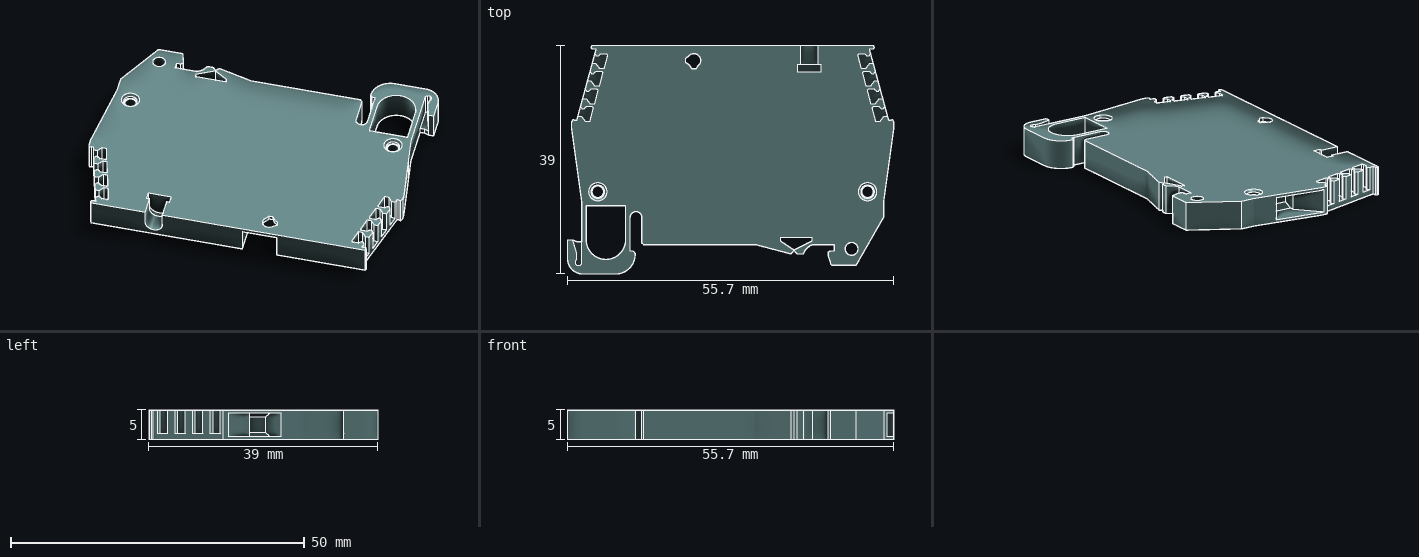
import cadquery as cq
import math


THICKNESS = 5.0
WALL = 0.5
FLOOR_Z = 1.0
CUT = 1.0

TOP_Y = 34.0
SHOULDER_X = 27.475
SHOULDER_Y = 19.84
LIP_START_Y = 20.86
LIP_MIDDLE = (-27.37, 21.15)
LIP_TOP = (-27.2, 21.4)
LIP_INNER_X = -26.95
BROW_INNER_X = -24.0
BROW_OUTER = (-24.15, 33.65)
WAIST_X = 25.75
WAIST_Y = 7.35

HOOK_X = -28.175
HOOK_BOTTOM_Y = -5.0
HOOK_TIP_Y = 0.85
HOOK_RADIUS = 2.7
HOOK_FLAT_END_X = -19.9
HOOK_JAW_X = -16.95
HOOK_LIP = (-16.6, -1.45)
HOOK_BELLY_MIDDLE = (-17.75, -4.15)
HOOK_POCKET_X = -27.3
HOOK_NECK_X = -26.6
HOOK_NECK_TOP_Y = -1.4
HOOK_NECK_BOTTOM_Y = -2.4
HOOK_BULB_WIDENING = 0.2
HOOK_BULB_CORNER = 0.27
HOOK_POCKET_BOTTOM_Y = -3.5
HOOK_FLOOR_STEP_X = -26.5
HOOK_FLOOR_Y = 0.55
HOOK_FLOOR_OVERLAP = 0.25
JAW_Y = -1.03

SLOT_LEFT_X = -17.46
SLOT_WIDTH = 1.95
SLOT_TOP_Y = 5.66
SLOT_CORNER = 0.35

WINDOW_LEFT_X = -24.95
WINDOW_WIDTH = 6.68
WINDOW_TOP_Y = 6.67
WINDOW_BOTTOM_Y = -2.46

FOOT_Y = -3.49
FOOT_LEFT_X = 17.15
FOOT_RIGHT_X = 21.04
FOOT_FLANK_Y = 4.74
FOOT_HEEL = (16.65, -3.0)
FOOT_HEEL_MIDDLE = (16.75, -3.35)
FOOT_JAW_X = 16.27
FOOT_JAW_LOWER_Y = -1.9
FOOT_JAW_CHAMFER = (0.33, 0.22)
FOOT_RECESS_X = 17.3
FOOT_HOLE = (20.27, -0.68)
FOOT_HOLE_DIAMETER = 2.15

NOSE_START_X = 4.0
NOSE_TIP_Y = -1.56
NOTCH_X = 10.45
NOTCH_Y = -1.0
NOTCH_HALF_WIDTH = 0.52
NOSE_FLAT_END_X = 12.06
NOSE_END_X = 13.6
NOSE_HOLLOW_MIDDLE = (12.58, -0.65)
NOSE_WINDOW_LEFT_X = 8.15
NOSE_WINDOW_RIGHT_X = 13.48
NOSE_WINDOW_TOP_Y = 1.23
NOSE_WINDOW_SIDE_Y = 0.68
NOSE_WINDOW_TIP_Y = -0.85

GROOVE_COUNT = 4
GROOVE_START_DROP = 0.78
GROOVE_STEP_Y = -3.0
FLANK_TOP = (-23.3, 33.38)
FLANK_BOTTOM = (-26.6, 21.25)
GROOVE_PROFILE = [
    (-1.2, 0.4),
    (-0.25, 0.4),
    (0.3, -0.43),
    (0.6, -0.43),
    (1.0, -0.02),
    (2.0, -0.02),
    (2.2, -0.25),
    (1.6, -2.55),
    (0.85, -2.55),
    (0.2, -1.7),
    (-1.2, -1.7),
]

ENTRY_TOP_Y = 20.5
ENTRY_BOTTOM_Y = 11.5
ENTRY_BACK_X = -23.4
ENTRY_THROAT_X = -22.6
ENTRY_STEP_Y = 16.87
ENTRY_END_X = -21.1
ENTRY_END_Y = 14.2
ENTRY_END_WALL = 1.2

SCREW_X = 22.99
SCREW_Y = 9.06
SCREW_HOLE_RADIUS = 0.97
SCREW_STEP_RADIUS = 1.15
SCREW_STEP_DEPTH = 0.85
SCREW_SINK_RADIUS = 1.55
SCREW_SINK_DEPTH = 0.4

BORE_X = 13.02
BORE_DIAMETER = 3.0
BORE_END_Y = 30.75
HEAD_DIAMETER = 4.0
HEAD_END_Y = 29.5
HEAD_FLOOR_Z = 0.52

TEST_X = -6.6
TEST_Y = 31.45
TEST_RADIUS = 1.13
TEST_TIP = 1.42
TEST_LOBE = 0.35
TEST_NECK = 0.9
TEST_SKIN = 0.7
RECESS_LEFT_X = -8.5
RECESS_RIGHT_X = -2.5
RECESS_BOTTOM_Y = 29.5


def prism(points, bottom=-CUT, top=THICKNESS + CUT):
    """Closed polygon in XY extruded from one Z level to another."""
    return cq.Workplane("XY").workplane(offset=bottom).polyline(points).close().extrude(top - bottom)


def box(x_min, x_max, y_min, y_max, z_min, z_max):
    size = (x_max - x_min, y_max - y_min, z_max - z_min)
    return cq.Workplane("XY").box(*size, centered=False).translate((x_min, y_min, z_min))


def mirrored(shape):
    """The shape together with its mirror image across X = 0."""
    return shape.union(shape.mirror("YZ"))


def shoulder_points():
    """Left edge of the body from the rounded shoulder lip up to the top edge."""
    return [
        LIP_TOP,
        (LIP_INNER_X, FLANK_BOTTOM[1]),
        FLANK_BOTTOM,
        FLANK_TOP,
        (BROW_INNER_X, FLANK_TOP[1]),
        BROW_OUTER,
        (BROW_INNER_X, TOP_Y),
    ]


def make_body():
    left = shoulder_points()
    right = [(-x, y) for x, y in reversed(left)]
    slot_right_x = SLOT_LEFT_X + SLOT_WIDTH
    slot_radius = SLOT_WIDTH / 2
    slot_center_x = SLOT_LEFT_X + slot_radius
    hook_center = (HOOK_X + HOOK_RADIUS, HOOK_BOTTOM_Y + HOOK_RADIUS)
    hook_diagonal = HOOK_RADIUS * math.sqrt(0.5)
    bulb_left_x = HOOK_NECK_X - HOOK_BULB_WIDENING
    bulb_top_y = HOOK_NECK_BOTTOM_Y - 2 * HOOK_BULB_WIDENING
    bulb_low_y = HOOK_POCKET_BOTTOM_Y + HOOK_BULB_CORNER

    outline = (
        cq.Workplane("XY")
        .moveTo(-WAIST_X, WAIST_Y)
        .lineTo(-SHOULDER_X, SHOULDER_Y)
        .lineTo(-SHOULDER_X, LIP_START_Y)
        .threePointArc(LIP_MIDDLE, LIP_TOP)
        .polyline(left[1:] + right, includeCurrent=True)
        .threePointArc((-LIP_MIDDLE[0], LIP_MIDDLE[1]), (SHOULDER_X, LIP_START_Y))
        .lineTo(SHOULDER_X, SHOULDER_Y)
        .lineTo(WAIST_X, WAIST_Y)
        .lineTo(WAIST_X, FOOT_FLANK_Y)
        .lineTo(FOOT_RIGHT_X, FOOT_Y)
        .lineTo(FOOT_LEFT_X, FOOT_Y)
        .threePointArc(FOOT_HEEL_MIDDLE, FOOT_HEEL)
        .lineTo(FOOT_JAW_X, FOOT_JAW_LOWER_Y)
        .lineTo(FOOT_JAW_X, JAW_Y - FOOT_JAW_CHAMFER[1])
        .lineTo(FOOT_JAW_X + FOOT_JAW_CHAMFER[0], JAW_Y)
        .lineTo(FOOT_RECESS_X, JAW_Y)
        .lineTo(FOOT_RECESS_X, 0)
        .lineTo(NOSE_END_X, 0)
        .threePointArc(NOSE_HOLLOW_MIDDLE, (NOSE_FLAT_END_X, NOSE_TIP_Y))
        .lineTo(NOTCH_X + NOTCH_HALF_WIDTH, NOSE_TIP_Y)
        .lineTo(NOTCH_X, NOTCH_Y)
        .lineTo(NOTCH_X - NOTCH_HALF_WIDTH, NOSE_TIP_Y)
        .lineTo(NOSE_START_X, 0)
        .lineTo(slot_right_x + SLOT_CORNER, 0)
        .lineTo(slot_right_x, SLOT_CORNER)
        .lineTo(slot_right_x, SLOT_TOP_Y - slot_radius)
        .threePointArc((slot_center_x, SLOT_TOP_Y), (SLOT_LEFT_X, SLOT_TOP_Y - slot_radius))
        .lineTo(SLOT_LEFT_X, JAW_Y)
        .lineTo(HOOK_JAW_X, JAW_Y)
        .lineTo(*HOOK_LIP)
        .threePointArc(HOOK_BELLY_MIDDLE, (HOOK_FLAT_END_X, HOOK_BOTTOM_Y))
        .lineTo(hook_center[0], HOOK_BOTTOM_Y)
        .threePointArc(
            (hook_center[0] - hook_diagonal, hook_center[1] - hook_diagonal),
            (HOOK_X, hook_center[1]),
        )
        .lineTo(HOOK_X, HOOK_TIP_Y)
        .lineTo(HOOK_POCKET_X, HOOK_TIP_Y)
        .lineTo(HOOK_NECK_X, HOOK_NECK_TOP_Y)
        .lineTo(HOOK_NECK_X, HOOK_NECK_BOTTOM_Y)
        .lineTo(bulb_left_x, bulb_top_y)
        .lineTo(bulb_left_x, bulb_low_y)
        .lineTo(bulb_left_x + HOOK_BULB_CORNER, HOOK_POCKET_BOTTOM_Y)
        .lineTo(-WAIST_X - HOOK_BULB_CORNER, HOOK_POCKET_BOTTOM_Y)
        .lineTo(-WAIST_X, bulb_low_y)
        .close()
    )
    return outline.extrude(THICKNESS)


def hook_pocket_floor():
    right_x = -WAIST_X + HOOK_FLOOR_OVERLAP
    bottom_y = HOOK_POCKET_BOTTOM_Y - HOOK_FLOOR_OVERLAP
    return prism(
        [
            (HOOK_POCKET_X, HOOK_TIP_Y),
            (HOOK_FLOOR_STEP_X, HOOK_FLOOR_Y),
            (right_x, HOOK_FLOOR_Y),
            (right_x, bottom_y),
            (HOOK_POCKET_X, bottom_y),
        ],
        0,
        FLOOR_Z,
    )


def flex_window():
    radius = WINDOW_WIDTH / 2
    center_y = WINDOW_BOTTOM_Y + radius
    right_x = WINDOW_LEFT_X + WINDOW_WIDTH
    return (
        cq.Workplane("XY")
        .moveTo(WINDOW_LEFT_X, WINDOW_TOP_Y)
        .lineTo(right_x, WINDOW_TOP_Y)
        .lineTo(right_x, center_y)
        .threePointArc((WINDOW_LEFT_X + radius, WINDOW_BOTTOM_Y), (WINDOW_LEFT_X, center_y))
        .close()
        .extrude(THICKNESS)
    )


def nose_window():
    return prism([
        (NOSE_WINDOW_LEFT_X, NOSE_WINDOW_TOP_Y),
        (NOSE_WINDOW_RIGHT_X, NOSE_WINDOW_TOP_Y),
        (NOSE_WINDOW_RIGHT_X, NOSE_WINDOW_SIDE_Y),
        (NOTCH_X, NOSE_WINDOW_TIP_Y),
        (NOSE_WINDOW_LEFT_X, NOSE_WINDOW_SIDE_Y),
    ])


def grip_grooves():
    """Undercut grooves stepping down the left shoulder, closed at the back."""
    slope = (FLANK_TOP[0] - FLANK_BOTTOM[0]) / (FLANK_TOP[1] - FLANK_BOTTOM[1])
    grooves = cq.Workplane("XY")
    for i in range(GROOVE_COUNT):
        drop = GROOVE_STEP_Y * i - GROOVE_START_DROP
        x = FLANK_TOP[0] + slope * drop
        y = FLANK_TOP[1] + drop
        points = [(x + dx, y + dy) for dx, dy in GROOVE_PROFILE]
        grooves = grooves.union(prism(points, FLOOR_Z))
    return mirrored(grooves)


def wire_entries():
    """Wedge-shaped mouth between thin skins, narrowing into a short funnel."""
    flank_slope = (SHOULDER_X - WAIST_X) / (SHOULDER_Y - WAIST_Y)
    lower_x = -WAIST_X - flank_slope * (ENTRY_BOTTOM_Y - WAIST_Y)
    ramp_slope = (ENTRY_END_Y - ENTRY_BOTTOM_Y) / (ENTRY_END_X - lower_x)
    throat_y = ENTRY_BOTTOM_Y + ramp_slope * (ENTRY_THROAT_X - lower_x)
    mouth = prism(
        [
            (-SHOULDER_X - CUT, ENTRY_TOP_Y),
            (-SHOULDER_X, ENTRY_TOP_Y),
            (ENTRY_BACK_X, ENTRY_STEP_Y),
            (ENTRY_THROAT_X, ENTRY_STEP_Y),
            (ENTRY_THROAT_X, throat_y),
            (lower_x, ENTRY_BOTTOM_Y),
            (-SHOULDER_X - CUT, ENTRY_BOTTOM_Y),
        ],
        WALL,
        THICKNESS - WALL,
    )

    def throat_section(x, y_min, wall):
        corners = [
            (x, y_min, wall),
            (x, ENTRY_STEP_Y, wall),
            (x, ENTRY_STEP_Y, THICKNESS - wall),
            (x, y_min, THICKNESS - wall),
        ]
        return cq.Wire.makePolygon([cq.Vector(*c) for c in corners], close=True)

    start = throat_section(ENTRY_THROAT_X, throat_y, WALL)
    end = throat_section(ENTRY_END_X, ENTRY_END_Y, ENTRY_END_WALL)
    funnel = cq.Workplane(obj=cq.Solid.makeLoft([start, end], True))
    return mirrored(mouth.union(funnel))


def screw_holes():
    """Countersunk stepped holes, turned about their own axis."""
    step_z = THICKNESS - SCREW_STEP_DEPTH
    sink_z = THICKNESS - SCREW_SINK_DEPTH
    half_section = [
        (0, 0),
        (SCREW_HOLE_RADIUS, 0),
        (SCREW_HOLE_RADIUS, step_z),
        (SCREW_STEP_RADIUS, step_z),
        (SCREW_STEP_RADIUS, sink_z),
        (SCREW_SINK_RADIUS, THICKNESS),
        (0, THICKNESS),
    ]
    hole = cq.Workplane("XZ").polyline(half_section).close().revolve(360, (0, 0), (0, 1))
    return mirrored(hole.translate((SCREW_X, SCREW_Y, 0)))


def open_bore(diameter, y_min, y_max, floor_z):
    """Round-bottomed channel along Y, open to the front face."""
    radius = diameter / 2
    middle_z = THICKNESS / 2
    round_part = (
        cq.Workplane("XZ", origin=(BORE_X, y_max, middle_z)).circle(radius).extrude(y_max - y_min)
    )
    upper = box(BORE_X - radius, BORE_X + radius, y_min, y_max, middle_z, THICKNESS + CUT)
    limit = box(BORE_X - radius, BORE_X + radius, y_min, y_max, floor_z, THICKNESS + CUT)
    return round_part.union(upper).intersect(limit)


def top_bore():
    shank = open_bore(BORE_DIAMETER, BORE_END_Y, TOP_Y + CUT, 0)
    head = open_bore(HEAD_DIAMETER, HEAD_END_Y, BORE_END_Y, HEAD_FLOOR_Z)
    return shank.union(head)


def test_opening():
    """Round opening with its lower-left part filled except for two lobes."""
    diagonal = TEST_RADIUS * math.sqrt(0.5)
    shoulder = math.sqrt(TEST_RADIUS**2 - TEST_NECK**2)
    opening = (
        cq.Workplane("XY")
        .moveTo(-TEST_NECK, shoulder)
        .threePointArc((diagonal, diagonal), (shoulder, -TEST_NECK))
        .lineTo(TEST_LOBE, -TEST_TIP)
        .lineTo(-TEST_LOBE, -TEST_TIP)
        .lineTo(-shoulder, -TEST_NECK)
        .lineTo(-TEST_NECK, -shoulder)
        .lineTo(-TEST_TIP, -TEST_LOBE)
        .lineTo(-TEST_TIP, TEST_LOBE)
        .close()
        .extrude(THICKNESS + CUT)
    )
    recess = box(RECESS_LEFT_X, RECESS_RIGHT_X, RECESS_BOTTOM_Y, TOP_Y + CUT, -CUT, THICKNESS - TEST_SKIN)
    return opening.translate((TEST_X, TEST_Y, 0)).union(recess)


def foot_hole():
    return cq.Workplane("XY").center(*FOOT_HOLE).circle(FOOT_HOLE_DIAMETER / 2).extrude(THICKNESS)


body = make_body().union(hook_pocket_floor())
for cutter in (
    flex_window(),
    nose_window(),
    grip_grooves(),
    wire_entries(),
    top_bore(),
    test_opening(),
    screw_holes(),
    foot_hole(),
):
    body = body.cut(cutter)
result = body